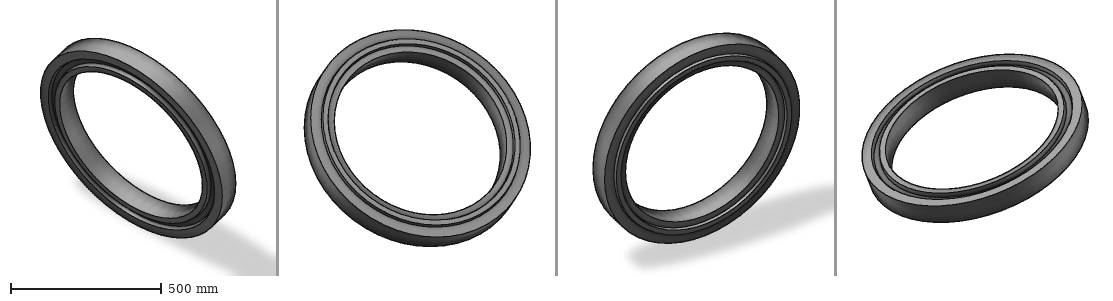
import cadquery as cq

outer_radius = 383.0
bore_radius = 300.0

total_length = 87.0
lip_projection = 2.0
body_length = 73.5
tongue_end = total_length - lip_projection

groove_depth = 14.0
groove_mouth_outer_radius = 350.0
groove_floor_outer_radius = 345.0
groove_floor_inner_radius = 325.0
lip_radius = 321.0

tongue_base_outer_radius = 346.0
tongue_tip_outer_radius = 344.0
tongue_tip_inner_radius = 325.5
tongue_base_inner_radius = 323.0

section = [
    (bore_radius, -lip_projection),
    (lip_radius, -lip_projection),
    (groove_floor_inner_radius, groove_depth),
    (groove_floor_outer_radius, groove_depth),
    (groove_mouth_outer_radius, 0),
    (outer_radius, 0),
    (outer_radius, body_length),
    (tongue_base_outer_radius, body_length),
    (tongue_tip_outer_radius, tongue_end),
    (tongue_tip_inner_radius, tongue_end),
    (tongue_base_inner_radius, body_length),
    (bore_radius, body_length),
]

result = cq.Workplane("XY").polyline(section).close().revolve(360, (0, 0, 0), (0, 1, 0))